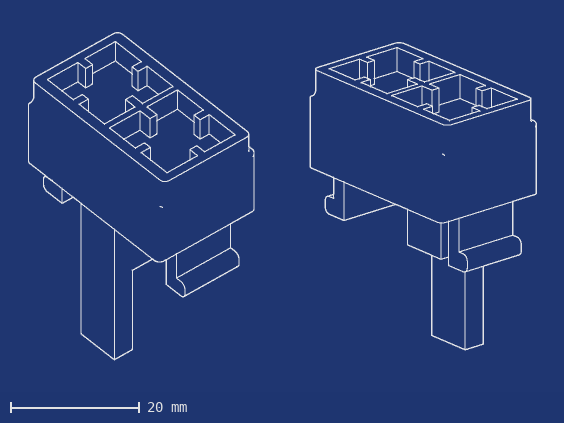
import cadquery as cq
import math


BODY_LENGTH = 32.0
BODY_DEPTH = 20.0
BODY_HEIGHT = 16.0
COLLAR_HEIGHT = 4.05
COLLAR_SETBACK = 1.1
CORNER_RADIUS = 1.02
LEDGE_FILLET = 0.5
LEDGE_HEIGHT = BODY_HEIGHT - COLLAR_HEIGHT
COLLAR_DEPTH = BODY_DEPTH - 2 * COLLAR_SETBACK
COVE_CENTRE_Y = COLLAR_DEPTH / 2 + LEDGE_FILLET
COVE_CENTRE_Z = LEDGE_HEIGHT + LEDGE_FILLET
NOSE_CENTRE_Y = BODY_DEPTH / 2 - LEDGE_FILLET
NOSE_CENTRE_Z = LEDGE_HEIGHT - LEDGE_FILLET

SOCKET_SIZE = 13.85
SOCKET_DEPTH = 4.0
DIVIDER_WIDTH = 1.05
DIVIDER_STEP = 0.15
KEY_WIDTH = 1.42
KEY_LENGTH = 1.85
DIVIDER_KEY_LENGTH = 2.4
SOCKET_OFFSET = (SOCKET_SIZE + DIVIDER_WIDTH) / 2
SOCKET_FLOOR = BODY_HEIGHT - SOCKET_DEPTH

HOOK_SPAN = 34.0
HOOK_WIDTH = 11.05
HOOK_THICKNESS = 2.5
HOOK_SETBACK = 1.02
HOOK_DROP = 9.12
LIP_HEIGHT = 3.0
LIP_RADIUS = 1.0

TOTAL_HEIGHT = 44.5
LEG_WIDTH = 8.0
LEG_THICKNESS = 3.75
SHOULDER_DEPTH = 8.68
SHOULDER_DROP = 12.1
LEG_DROP = TOTAL_HEIGHT - BODY_HEIGHT
LEG_FRONT = -COLLAR_DEPTH / 2


def block(x_range, y_range, z_range):
    """Box spanning the given (low, high) ranges."""
    spans = [high - low for low, high in (x_range, y_range, z_range)]
    corner = (x_range[0], y_range[0], z_range[0])
    return cq.Workplane("XY").box(*spans, centered=False).translate(corner)


def rounded_block(depth, bottom, top):
    """Full-length block from bottom to top with rounded upright edges."""
    middle = (0, 0, (bottom + top) / 2)
    base = cq.Workplane("XY").box(BODY_LENGTH, depth, top - bottom).translate(middle)
    return base.edges("|Z").fillet(CORNER_RADIUS)


def cove_outline(y):
    """Half outline of the cove cutter in the plane at y, flaring by CORNER_RADIUS at both ends."""
    end = BODY_LENGTH / 2
    flare_start = end - CORNER_RADIUS
    flare_mid = flare_start + CORNER_RADIUS * math.sin(math.pi / 4)
    mid_radius = LEDGE_FILLET + CORNER_RADIUS * (1 - math.cos(math.pi / 4))
    end_radius = LEDGE_FILLET + CORNER_RADIUS
    plane = cq.Plane(origin=(0, y, COVE_CENTRE_Z), xDir=(1, 0, 0), normal=(0, -1, 0))
    return (
        cq.Workplane(plane)
        .moveTo(-end, 0)
        .lineTo(-end, -end_radius)
        .threePointArc((-flare_mid, -mid_radius), (-flare_start, -LEDGE_FILLET))
        .lineTo(flare_start, -LEDGE_FILLET)
        .threePointArc((flare_mid, -mid_radius), (end, -end_radius))
        .lineTo(end, 0)
        .close()
    )


def ledge_nose():
    """Rounded outer edge of the +Y ledge: a spindle that tapers to nothing inside each corner round."""
    flare_start = BODY_LENGTH / 2 - CORNER_RADIUS

    def taper(inset):
        return flare_start + math.sqrt(CORNER_RADIUS**2 - (CORNER_RADIUS - inset) ** 2)

    tip = taper(LEDGE_FILLET)
    middle = taper(LEDGE_FILLET / 2)
    plane = cq.Plane(origin=(0, NOSE_CENTRE_Y, NOSE_CENTRE_Z), xDir=(1, 0, 0), normal=(0, -1, 0))
    return (
        cq.Workplane(plane)
        .moveTo(-tip, 0)
        .threePointArc((-middle, LEDGE_FILLET / 2), (-flare_start, LEDGE_FILLET))
        .lineTo(flare_start, LEDGE_FILLET)
        .threePointArc((middle, LEDGE_FILLET / 2), (tip, 0))
        .close()
        .revolve(360, (0, 0, 0), (1, 0, 0))
    )


def ledge_cutter():
    """Cutter that shapes the +Y ledge: cove at the collar foot, flat, then rounded outer edge.

    The corner rounding follows the whole stepped end outline, so the cove widens towards the ends.
    """
    cove = cove_outline(COVE_CENTRE_Y).revolve(360, (0, 0, 0), (1, 0, 0))
    flat = cove_outline(NOSE_CENTRE_Y).extrude(NOSE_CENTRE_Y - COVE_CENTRE_Y)
    half_length = BODY_LENGTH / 2
    x_range = (-half_length, half_length)
    edge = block(x_range, (NOSE_CENTRE_Y, BODY_DEPTH / 2), (NOSE_CENTRE_Z, COVE_CENTRE_Z))
    return cove.union(flat).union(edge.cut(ledge_nose()))


def housing():
    """Rounded block with a narrower collar above a blended ledge on the front and back."""
    body = rounded_block(BODY_DEPTH, 0, COVE_CENTRE_Z)
    body = body.union(rounded_block(COLLAR_DEPTH, LEDGE_HEIGHT / 2, BODY_HEIGHT))
    cutter = ledge_cutter()
    return body.cut(cutter).cut(cutter.mirror("XZ"))


def socket(side):
    """Cutter for one square socket, leaving a key in the middle of each wall."""
    half = SOCKET_SIZE / 2
    z_range = (SOCKET_FLOOR, BODY_HEIGHT)
    key_sides = (-KEY_WIDTH / 2, KEY_WIDTH / 2)
    cutter = block((-half, half), (-half, half), z_range)
    cutter = cutter.cut(block(key_sides, (half - KEY_LENGTH, half), z_range))
    cutter = cutter.cut(block(key_sides, (-half, KEY_LENGTH - half), z_range))
    left_key = KEY_LENGTH if side < 0 else DIVIDER_KEY_LENGTH
    right_key = DIVIDER_KEY_LENGTH if side < 0 else KEY_LENGTH
    cutter = cutter.cut(block((-half, left_key - half), key_sides, z_range))
    cutter = cutter.cut(block((half - right_key, half), key_sides, z_range))
    if side < 0:
        cutter = cutter.cut(block((half - DIVIDER_STEP, half), (-half, 0), z_range))
    return cutter.translate((side * SOCKET_OFFSET, 0, 0))


def right_hook():
    """Snap hook at the +X end with a rounded outward lip."""
    outer = BODY_LENGTH / 2 - HOOK_SETBACK
    inner = outer - HOOK_THICKNESS
    y_range = (-HOOK_WIDTH / 2, HOOK_WIDTH / 2)
    lip = block((inner, HOOK_SPAN / 2), y_range, (-HOOK_DROP, LIP_HEIGHT - HOOK_DROP))
    lip = lip.faces(">X").edges("|Y").fillet(LIP_RADIUS)
    return lip.union(block((inner, outer), y_range, (-HOOK_DROP, 0)))


def leg():
    """Long flat leg with a short shoulder behind it."""
    x_range = (-LEG_WIDTH / 2, LEG_WIDTH / 2)
    bar = block(x_range, (LEG_FRONT, LEG_FRONT + LEG_THICKNESS), (-LEG_DROP, 0))
    shoulder = block(x_range, (LEG_FRONT, LEG_FRONT + SHOULDER_DEPTH), (-SHOULDER_DROP, 0))
    return bar.union(shoulder)


hook = right_hook()
result = housing().union(hook).union(hook.mirror("YZ")).union(leg())
for socket_side in (-1, 1):
    result = result.cut(socket(socket_side))